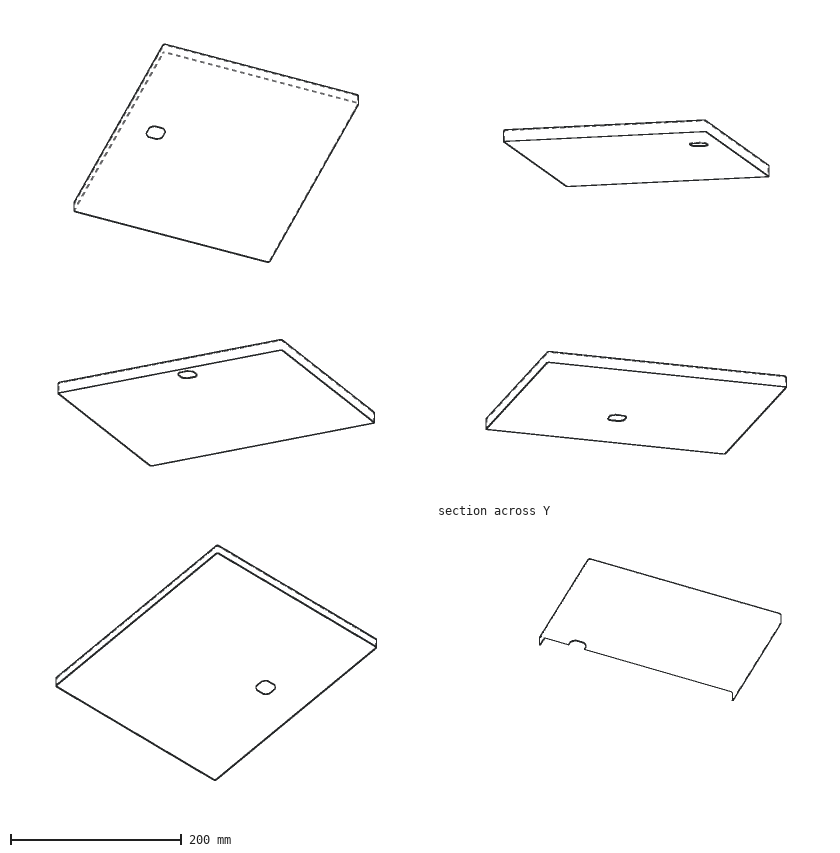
import cadquery as cq

width = 246.5
length = 294.5
height = 14.5
sheet = 1.2
bend_radius = 3.0

opening_diameter = 22.5
opening_across_flats = 20.0
opening_x = -76.0


def rounded_block(block_width, block_length, block_height, radius):
    """Block standing on Z = 0 with rounded upright and top edges."""
    block = cq.Workplane("XY").box(block_width, block_length, block_height, centered=(True, True, False))
    return block.edges("|Z").fillet(radius).faces(">Z").edges().fillet(radius)


def hollow_panel():
    """Top sheet with four folded sides of even thickness."""
    outside = rounded_block(width, length, height, bend_radius)
    inside = rounded_block(
        width - 2 * sheet,
        length - 2 * sheet,
        height - sheet,
        bend_radius - sheet,
    )
    return outside.cut(inside)


def opening():
    """Cutter for the circular opening with four flats."""
    center = cq.Workplane("XY").center(opening_x, 0)
    circle = center.circle(opening_diameter / 2).extrude(height)
    square = center.rect(opening_across_flats, opening_across_flats).extrude(height)
    return circle.intersect(square)


result = hollow_panel().cut(opening())